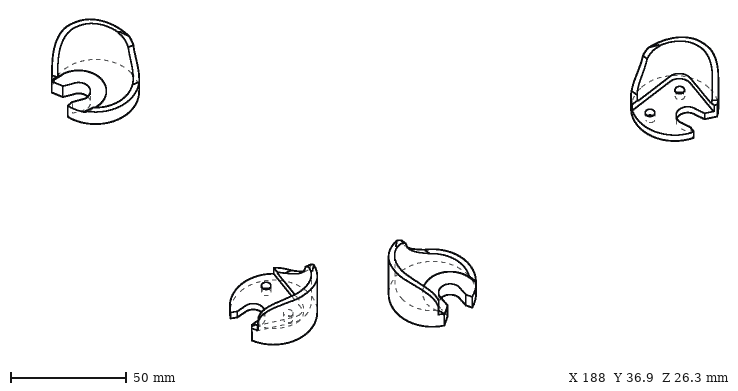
import cadquery as cq
import math

overall_length = 188.0
outer_radius = 19.0
wall_top = 26.3
cup_offset = overall_length / 2 - outer_radius

inner_radius = 16.4
floor_height = 7.3
rim_height = 7.9
floor_fillet = 0.8
reach = 3 * outer_radius

front_direction = 217.0
front_base = (4.9, 13.5)
front_middle = (0.0, 22.0)
front_top_offset = -8.7

crest_flat_back_y = 4.9
crest_back_middle = (13.0, 24.8)
crest_back = (outer_radius, 22.4)

shoulder_start = (-6.2, 23.7)
shoulder_middle = (-2.5, 22.2)
shoulder_end = (0.4, 19.7)
sweep_middle = (4.5, 11.8)
sweep_end_x = 11.0

slot_center = (1.5, -9.4)
slot_radius = 5.0
slot_left_end = (-4.5, -13.7)
slot_right_end = (5.5, -15.0)
left_tip = (-9.4, -16.5)
right_tip = (6.4, -17.9)

seat_radius = 12.0
seat_depth = 0.2

pocket_floor = 4.0
pocket_back_y = 9.8
pocket_corner_x = 14.3
pocket_front = (8.3, -14.5)
pocket_corner_radius = 5.6
hole_radius = 2.0
hole_xs = (-11.8, 6.5)
hole_y = 3.4


def front_cutter():
    """Space beyond the steep front end of the wall, swept along the front direction."""
    angle = math.radians(front_direction)
    across = (-math.sin(angle), math.cos(angle), 0)
    sweep = (math.cos(angle), math.sin(angle), 0)
    return (
        cq.Workplane(cq.Plane((0, 0, 0), xDir=across, normal=sweep))
        .moveTo(reach, rim_height)
        .lineTo(front_base[0], rim_height)
        .lineTo(*front_base)
        .threePointArc(front_middle, (front_top_offset, wall_top))
        .lineTo(front_top_offset, reach)
        .lineTo(reach, reach)
        .close()
        .extrude(reach, both=True)
    )


def crest_cutter():
    """Space above the falling back of the crest, swept along X."""
    return (
        cq.Workplane("YZ")
        .moveTo(crest_flat_back_y, wall_top)
        .threePointArc(crest_back_middle, crest_back)
        .lineTo(reach, crest_back[1])
        .lineTo(reach, reach)
        .lineTo(crest_flat_back_y, reach)
        .close()
        .extrude(reach, both=True)
    )


def flank_cutter():
    """Space beside the wall, swept along Y."""
    return (
        cq.Workplane("XZ")
        .moveTo(shoulder_start[0], reach)
        .lineTo(*shoulder_start)
        .threePointArc(shoulder_middle, shoulder_end)
        .threePointArc(sweep_middle, (sweep_end_x, rim_height))
        .lineTo(reach, rim_height)
        .lineTo(reach, reach)
        .close()
        .extrude(reach, both=True)
    )


def slot_cutter():
    """Round-ended mouth that flares out between the two tips."""
    center_x, center_y = slot_center
    return (
        cq.Workplane("XY")
        .moveTo(center_x - slot_radius, center_y)
        .threePointArc((center_x, center_y + slot_radius), (center_x + slot_radius, center_y))
        .lineTo(*slot_right_end)
        .lineTo(*right_tip)
        .lineTo(right_tip[0], -reach)
        .lineTo(left_tip[0], -reach)
        .lineTo(*left_tip)
        .lineTo(*slot_left_end)
        .close()
        .extrude(reach)
    )


def make_cup():
    """Cup centred on the Z axis, with its high wall on the -X side."""
    interior = (
        cq.Workplane("XY", origin=(0, 0, floor_height))
        .circle(inner_radius)
        .extrude(reach)
        .faces("<Z")
        .edges()
        .fillet(floor_fillet)
    )
    cup = cq.Workplane("XY").circle(outer_radius).extrude(wall_top)
    for cutter in (interior, front_cutter(), crest_cutter(), flank_cutter(), slot_cutter()):
        cup = cup.cut(cutter)
    return cup


def make_plain_cup():
    """Left cup, with an arched seat around the mouth."""
    center_x, center_y = slot_center
    seat = (
        cq.Workplane("XY", origin=(0, 0, floor_height - seat_depth))
        .moveTo(center_x - seat_radius, center_y)
        .threePointArc((center_x, center_y + seat_radius), (center_x + seat_radius, center_y))
        .lineTo(center_x + seat_radius, -reach)
        .lineTo(left_tip[0], -reach)
        .lineTo(*left_tip)
        .close()
        .extrude(rim_height - floor_height + seat_depth)
    )
    return make_cup().cut(seat).translate((-cup_offset, 0, 0))


def make_drilled_cup():
    """Right cup, a mirror image with a lowered, drilled mounting pocket."""
    corner = (pocket_corner_x, pocket_back_y, pocket_floor + reach / 2)
    pocket = (
        cq.Workplane("XY", origin=(0, 0, pocket_floor))
        .polyline([
            (-reach, pocket_back_y),
            (pocket_corner_x, pocket_back_y),
            pocket_front,
            (pocket_front[0], -reach),
            (-reach, -reach),
        ])
        .close()
        .extrude(reach)
        .edges(cq.selectors.NearestToPointSelector(corner))
        .fillet(pocket_corner_radius)
    )
    holes = (
        cq.Workplane("XY")
        .pushPoints([(x, hole_y) for x in hole_xs])
        .circle(hole_radius)
        .extrude(pocket_floor)
    )
    return make_cup().mirror("YZ").cut(pocket).cut(holes).translate((cup_offset, 0, 0))


plain_cup = make_plain_cup()
drilled_cup = make_drilled_cup()

result = cq.Compound.makeCompound([*plain_cup.solids().vals(), *drilled_cup.solids().vals()])